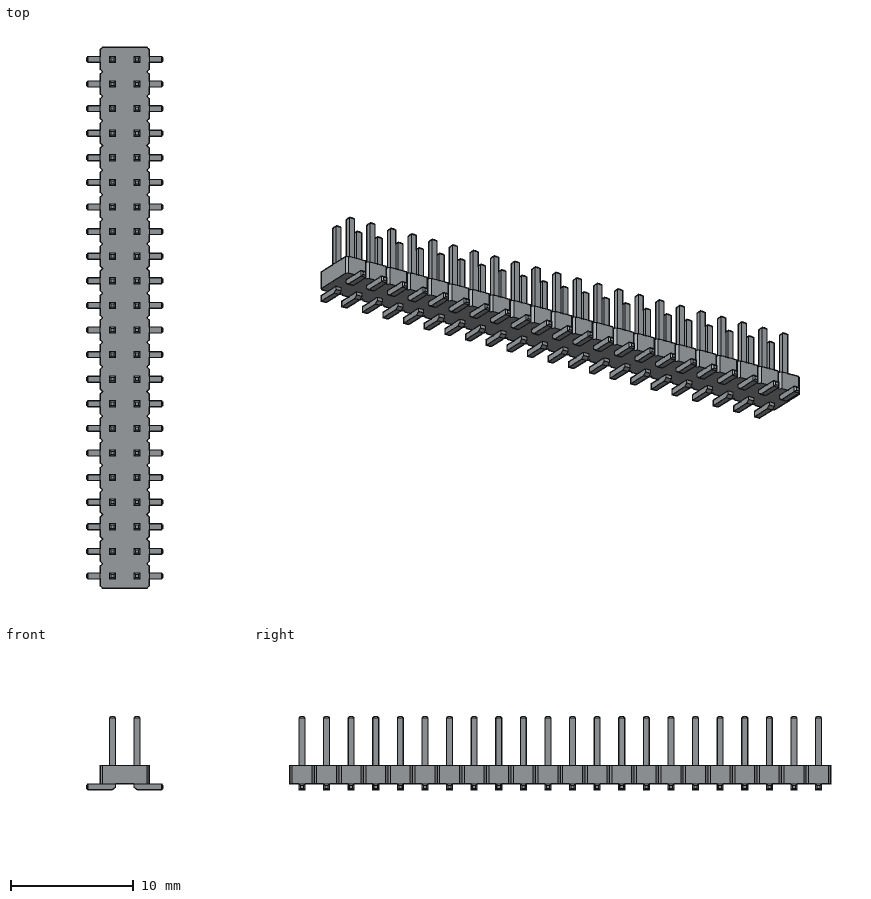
import cadquery as cq

length = 44.0
overall_width = 6.2
overall_height = 6.0
positions = 22
pitch = length / positions

body_width = 2 * pitch
body_height = 1.5
bevel = 0.2

pin_size = pitch / 4
tip_taper = 0.125
foot_bevel = 0.285
pin_top = overall_height - pin_size

half_pin = pin_size / 2
row_x = pitch / 2
foot_inner_x = row_x - half_pin
foot_outer_x = overall_width / 2


def make_housing():
    """Rectangular bar with bevelled corners and V-notches between positions."""
    half_width = body_width / 2
    waist = half_width - bevel
    right_side = []
    for i in range(positions):
        start = -length / 2 + i * pitch
        end = start + pitch
        right_side.append((waist, start))
        right_side.append((half_width, start + bevel))
        right_side.append((half_width, end - bevel))
    right_side.append((waist, length / 2))
    left_side = [(-x, y) for x, y in reversed(right_side)]
    return cq.Workplane("XY").polyline(right_side + left_side).close().extrude(body_height)


def make_contact():
    """One contact of the +X row: upright pin and outward foot, centred on Y = 0."""
    upright = (
        cq.Workplane("XY")
        .center(row_x, 0)
        .rect(pin_size, pin_size)
        .extrude(pin_top)
        .faces(">Z")
        .chamfer(tip_taper)
    )
    foot = (
        cq.Workplane("XZ")
        .moveTo(foot_inner_x, 0)
        .lineTo(foot_outer_x, 0)
        .lineTo(foot_outer_x, -pin_size)
        .lineTo(foot_inner_x + foot_bevel, -pin_size)
        .lineTo(foot_inner_x, -foot_bevel)
        .close()
        .extrude(half_pin, both=True)
        .faces(">X")
        .chamfer(tip_taper)
    )
    return upright.union(foot)


right_contact = make_contact()
left_contact = right_contact.mirror("YZ")
contact_pair = [right_contact.val(), left_contact.val()]

contacts = []
for i in range(positions):
    y = (i + 0.5) * pitch - length / 2
    contacts += [contact.translate(cq.Vector(0, y, 0)) for contact in contact_pair]

housing = make_housing()
result = cq.Workplane(housing.val().fuse(*contacts))